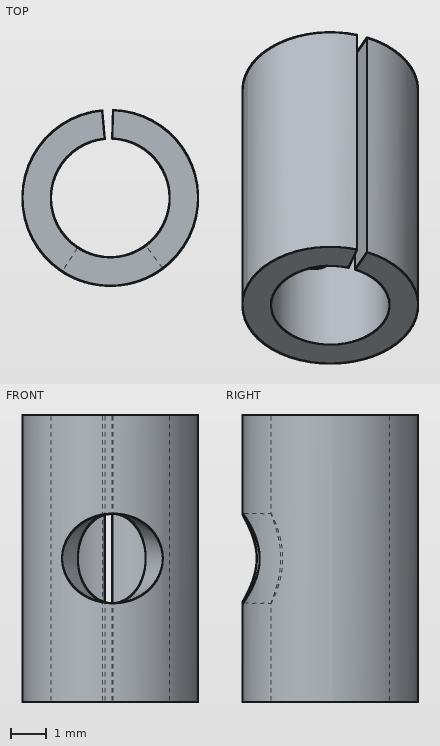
import cadquery as cq
import math

outer_diameter = 4.9
wall = 0.8
height = 8.0
outer_radius = outer_diameter / 2
inner_radius = outer_radius - wall
mid_radius = outer_radius - wall / 2

seam_width = 0.2
seam_angle = math.degrees(seam_width / inner_radius)

symmetry_turn = seam_angle / 4

hole_diameter = 2.5
hole_height = height / 2

cutter_start = inner_radius - wall / 2
cutter_end = outer_radius + wall / 2
outline_steps = 60


def make_tube():
    return cq.Workplane("XY").circle(outer_radius).circle(inner_radius).extrude(height)


def make_seam_cutter():
    """Wedge with its edge on the tube axis, opening towards +Y."""
    wedge_length = 2 * outer_radius
    half_width = wedge_length * math.tan(math.radians(seam_angle / 2))
    return (
        cq.Workplane("XY")
        .moveTo(0, 0)
        .lineTo(half_width, wedge_length)
        .lineTo(-half_width, wedge_length)
        .close()
        .extrude(height)
    )


def wrapped_hole_section(distance):
    """Outline of the wrapped hole, projected radially onto the plane y = -distance."""

    def outline_point(t):
        turn = 2 * math.pi * t
        wrap_angle = hole_diameter / 2 * math.cos(turn) / mid_radius
        rise = hole_diameter / 2 * math.sin(turn)
        return (distance * math.tan(wrap_angle), -distance, hole_height + rise)

    outline = cq.Workplane("XY").parametricCurve(outline_point, N=outline_steps)
    return cq.Wire.assembleEdges(outline.edges().vals())


def make_hole_cutter():
    """Ruled body whose side lines all run radially out from the tube axis."""
    sections = [wrapped_hole_section(distance) for distance in (cutter_start, cutter_end)]
    return cq.Workplane(cq.Solid.makeLoft(sections, ruled=True))


split_tube = make_tube().cut(make_seam_cutter()).cut(make_hole_cutter())
result = split_tube.rotate((0, 0, 0), (0, 0, 1), symmetry_turn)